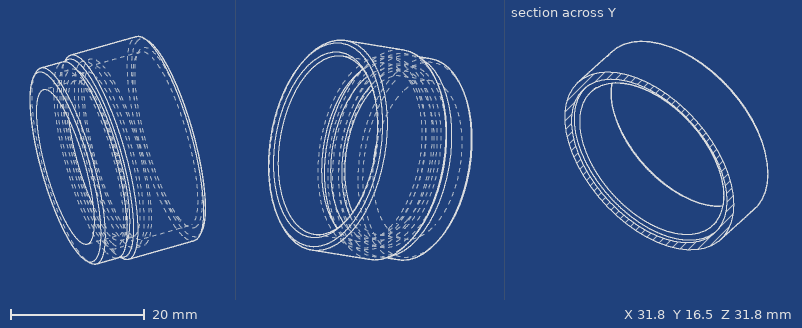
import cadquery as cq

body_radius = 15.88
length = 16.5
chamfer = 0.5

collar_radius = 15.25
collar_length = 4.0
groove_radius = 13.8
groove_width = 1.0
bore_radius = 12.0

front_bore_length = 5.02
middle_bore_radius = 12.83
inner_groove_start = 7.02
inner_groove_width = 1.17
inner_groove_radius = 14.5
rear_bore_radius = 13.5

front = -length / 2
back = length / 2


def cylinder(radius, start, end):
    """Solid cylinder along Y between two positions."""
    return cq.Workplane("XZ", origin=(0, start, 0)).circle(radius).extrude(start - end)


def outer_shape():
    """Chamfered collar and body joined by the groove floor."""
    collar_end = front + collar_length
    body_start = collar_end + groove_width
    collar = cylinder(collar_radius, front, collar_end).faces("<Y").chamfer(chamfer)
    body = cylinder(body_radius, body_start, back).faces("<Y or >Y").chamfer(chamfer)
    neck = cylinder(groove_radius, collar_end - chamfer, body_start + chamfer)
    return collar.union(neck).union(body)


def bore_shape():
    """Stepped through bore with its internal groove and rear chamfer."""
    middle_start = front + front_bore_length
    groove_start = front + inner_groove_start
    groove_end = groove_start + inner_groove_width
    return (
        cq.Workplane("XY")
        .moveTo(0, front)
        .lineTo(bore_radius, front)
        .lineTo(bore_radius, middle_start)
        .lineTo(middle_bore_radius, middle_start)
        .lineTo(middle_bore_radius, groove_start)
        .lineTo(inner_groove_radius, groove_start)
        .lineTo(inner_groove_radius, groove_end)
        .lineTo(rear_bore_radius, groove_end)
        .lineTo(rear_bore_radius, back - chamfer)
        .lineTo(rear_bore_radius + chamfer, back)
        .lineTo(0, back)
        .close()
        .revolve(360, (0, 0, 0), (0, 1, 0))
    )


result = outer_shape().cut(bore_shape())